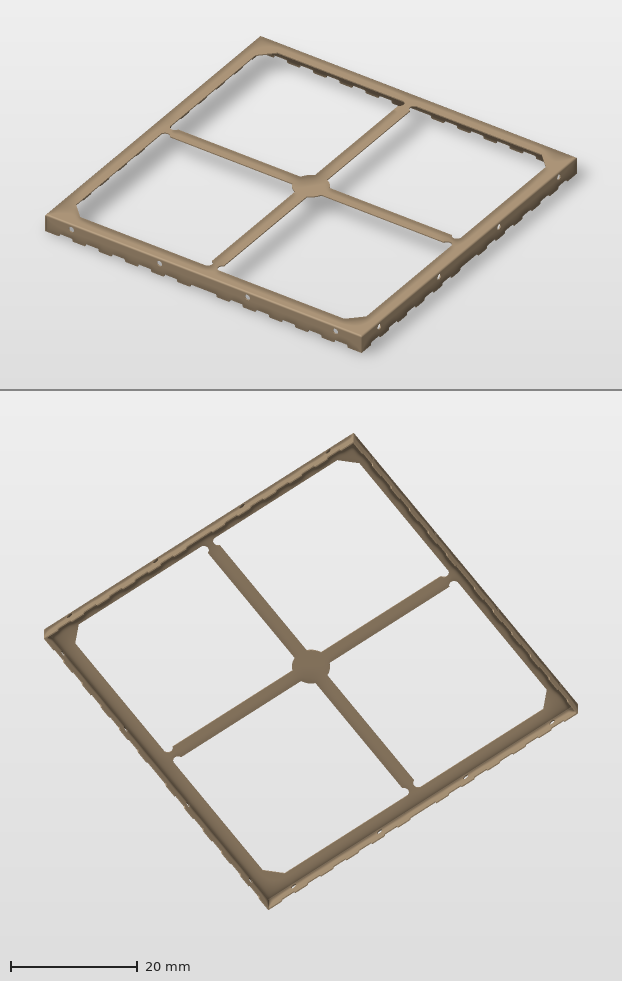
import cadquery as cq
import math

SIDE = 60.4
HEIGHT = 3.2
SHEET = 0.2
BEND_RADIUS = 0.3

RIM_WIDTH = 2.5
CORNER_CHAMFER = 2.5
STRIP_WIDTH = 2.3
HUB_RADIUS = 3.0
NECK_WIDTH = 1.2
RELIEF_RADIUS = 0.8

GAP_WIDTH = 2.5
TOOTH_ROUND = 0.2
TOOTH_HEIGHT = 0.5
GAPS_PER_HALF = 5
HOLE_DIAMETER = 1.0
HOLE_PITCH = 16.8
HOLE_COUNT = 4
HOLE_DROP = 1.0
SLIT_WIDTH = 0.05

HALF = SIDE / 2
RIM_INNER = HALF - RIM_WIDTH
TOOTH_PITCH = 2 * GAP_WIDTH
MIDDLE_GAP_WIDTH = 2 * GAP_WIDTH
FIRST_GAP_CENTER = MIDDLE_GAP_WIDTH / 2 + 1.5 * GAP_WIDTH


def turned(body, angle):
    """Body turned about the vertical axis of the frame."""
    return body.rotate((0, 0, 0), (0, 0, 1), angle)


def top_sheet_plane():
    """Work plane on the underside of the top sheet."""
    return cq.Workplane("XY").workplane(offset=HEIGHT - SHEET)


def bent_box(side, height, radius):
    """Square box standing on Z = 0 with rounded top edges."""
    box = cq.Workplane("XY").box(side, side, height, centered=(True, True, False))
    return box.faces(">Z").edges().fillet(radius)


def make_shell():
    """Sheet box, closed on top and open at the bottom."""
    outer = bent_box(SIDE, HEIGHT, BEND_RADIUS)
    inner = bent_box(SIDE - 2 * SHEET, HEIGHT - SHEET, BEND_RADIUS - SHEET)
    return outer.cut(inner)


def make_window():
    """Square opening of the rim with chamfered corners."""
    window = top_sheet_plane().rect(2 * RIM_INNER, 2 * RIM_INNER).extrude(SHEET)
    return window.edges("|Z").chamfer(CORNER_CHAMFER)


def make_strip():
    """Plain strip along X across the window."""
    return top_sheet_plane().rect(2 * RIM_INNER, STRIP_WIDTH).extrude(SHEET)


def make_neck_reliefs():
    """Round reliefs, tangent to the rim, that neck both ends of a strip along X."""
    relief_x = RIM_INNER - RELIEF_RADIUS
    relief_y = NECK_WIDTH / 2 + RELIEF_RADIUS
    reliefs = top_sheet_plane().rect(2 * relief_x, 2 * relief_y, forConstruction=True).vertices()
    return reliefs.circle(RELIEF_RADIUS).extrude(SHEET)


def make_hub():
    """Round hub where the strips cross."""
    return top_sheet_plane().circle(HUB_RADIUS).extrude(SHEET)


def make_gap(center, width):
    """Gap with rounded corners between two teeth, running along Y through both walls."""
    half = width / 2
    r = TOOTH_ROUND
    bulge = r * math.sqrt(0.5)
    profile = (
        cq.Workplane("XZ")
        .moveTo(-half - r, 0)
        .lineTo(half + r, 0)
        .threePointArc((half + r - bulge, r - bulge), (half, r))
        .lineTo(half, TOOTH_HEIGHT - r)
        .threePointArc((half - r + bulge, TOOTH_HEIGHT - r + bulge), (half - r, TOOTH_HEIGHT))
        .lineTo(-half + r, TOOTH_HEIGHT)
        .threePointArc((-half + r - bulge, TOOTH_HEIGHT - r + bulge), (-half, TOOTH_HEIGHT - r))
        .lineTo(-half, r)
        .threePointArc((-half - r + bulge, r - bulge), (-half - r, 0))
        .close()
    )
    gap = profile.extrude(HALF, both=True)
    return gap.translate((center, 0, 0))


def make_gaps():
    """All gaps in the lower edge of the two walls facing -Y and +Y."""
    gaps = make_gap(0, MIDDLE_GAP_WIDTH)
    for i in range(GAPS_PER_HALF):
        center = FIRST_GAP_CENTER + i * TOOTH_PITCH
        for x in (-center, center):
            gaps = gaps.union(make_gap(x, GAP_WIDTH))
    return gaps


def make_holes():
    """Row of holes through the two walls facing -Y and +Y."""
    centers = [((i - (HOLE_COUNT - 1) / 2) * HOLE_PITCH, HEIGHT - HOLE_DROP) for i in range(HOLE_COUNT)]
    holes = cq.Workplane("XZ").pushPoints(centers).circle(HOLE_DIAMETER / 2)
    return holes.extrude(HALF, both=True)


def make_corner_slits():
    """Slits that free the -Y and +Y walls from the -X and +X walls below the bend."""
    slit_height = HEIGHT - BEND_RADIUS
    slit_x = HALF - SHEET - SLIT_WIDTH / 2
    slits = cq.Workplane("XY").pushPoints([(-slit_x, 0), (slit_x, 0)]).rect(SLIT_WIDTH, SIDE)
    return slits.extrude(slit_height)


opening = make_window().cut(make_hub())
for angle in (0, 90):
    opening = opening.cut(turned(make_strip(), angle))
for angle in (0, 90):
    opening = opening.union(turned(make_neck_reliefs(), angle))

result = make_shell().cut(opening)
for angle in (0, 90):
    result = result.cut(turned(make_gaps(), angle))
    result = result.cut(turned(make_holes(), angle))
result = result.cut(make_corner_slits())